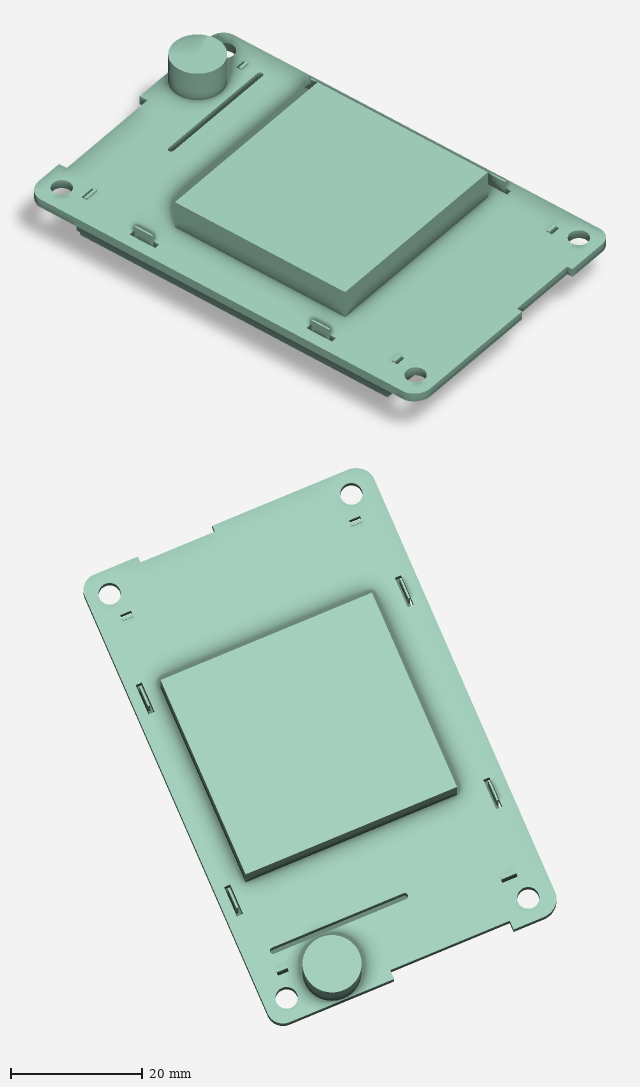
import cadquery as cq
import math

BOARD_LENGTH = 76.2
BOARD_WIDTH = 47.75
BOARD_THICKNESS = 1.6
BACK_CORNER_RADIUS = 2.54
FRONT_CORNER_RADIUS = 3.175
FRONT_CORNER_INSET = 2.54

PATTERN_Y = 0.25

HOLE_DIAMETER = 3.4
HOLE_X = 34.4
HOLE_Y = 20.0

LEFT_NOTCH_DEPTH = 1.5
LEFT_NOTCH_BOTTOM = -15.75
LEFT_NOTCH_TOP = 4.0
RIGHT_NOTCH_DEPTH = 1.0
RIGHT_NOTCH_BOTTOM = 1.7
RIGHT_NOTCH_TOP = 14.0

CABLE_SLOT_LENGTH = 22.8
CABLE_SLOT_WIDTH = 1.0
CABLE_SLOT_X = -26.8
CABLE_SLOT_Y = 8.35

FRAME_LENGTH = 60.4
FRAME_WIDTH = 43.4
FRAME_HEIGHT = 3.6
GLASS_LENGTH = 59.8
GLASS_WIDTH = 42.4
GLASS_HEIGHT = 1.1

BUZZER_DIAMETER = 9.0
BUZZER_HEIGHT = 5.4
BUZZER_X = -33.4
BUZZER_Y = 12.3
MODULE_LENGTH = 33.1
MODULE_WIDTH = 35.0
MODULE_HEIGHT = 5.1
MODULE_X = 1.25
MODULE_Y = 1.4

LATCH_SLOT_LENGTH = 5.0
LATCH_LENGTH = 3.4
LATCH_THICKNESS = 0.3
LATCH_HEIGHT = 1.8
LATCH_X = 17.2

TAB_SLOT_INNER_Y = 18.05
TAB_SLOT_OUTER_Y = 19.85
LONG_TAB_SLOT_INNER_Y = 17.3
TAB_HEIGHT = 0.25

TAB_SLOT_WIDTH = 1.0
LATCH_SLOT_OVERHANG = 0.25
TAB_SLOT_HALF = TAB_SLOT_WIDTH / 2


def box(x_min, x_max, y_min, y_max, z_min, z_max):
    """Axis-aligned block given by its limits."""
    size = (x_max - x_min, y_max - y_min, z_max - z_min)
    return cq.Workplane("XY").box(*size, centered=False).translate((x_min, y_min, z_min))


def centred_block(length, width, x, y, z_min, height):
    """Block centred on (x, y) that rises from z_min."""
    return cq.Workplane("XY", origin=(x, y, z_min)).box(length, width, height, centered=(True, True, False))


def make_board():
    """Rounded board with two edge notches, four mounting holes and one long slot."""
    edge = BOARD_LENGTH / 2
    back = BOARD_WIDTH / 2
    front = -BOARD_WIDTH / 2

    arc_offset = FRONT_CORNER_RADIUS - FRONT_CORNER_INSET
    arc_start_y = front + math.sqrt(FRONT_CORNER_RADIUS**2 - arc_offset**2)
    board = (
        cq.Workplane("XY")
        .moveTo(-edge + FRONT_CORNER_INSET, front)
        .lineTo(edge - FRONT_CORNER_INSET, front)
        .radiusArc((edge, arc_start_y), -FRONT_CORNER_RADIUS)
        .lineTo(edge, back)
        .lineTo(-edge, back)
        .lineTo(-edge, arc_start_y)
        .radiusArc((-edge + FRONT_CORNER_INSET, front), -FRONT_CORNER_RADIUS)
        .close()
        .extrude(-BOARD_THICKNESS)
    )
    board = board.edges("|Z and >Y").fillet(BACK_CORNER_RADIUS)

    left_notch = box(-edge, -edge + LEFT_NOTCH_DEPTH, LEFT_NOTCH_BOTTOM, LEFT_NOTCH_TOP, -BOARD_THICKNESS, 0)
    right_notch = box(edge - RIGHT_NOTCH_DEPTH, edge, RIGHT_NOTCH_BOTTOM, RIGHT_NOTCH_TOP, -BOARD_THICKNESS, 0)

    holes = (
        cq.Workplane("XY", origin=(0, PATTERN_Y, 0))
        .rect(2 * HOLE_X, 2 * HOLE_Y, forConstruction=True)
        .vertices()
        .circle(HOLE_DIAMETER / 2)
        .extrude(-BOARD_THICKNESS)
    )
    cable_slot = (
        cq.Workplane("XY", origin=(CABLE_SLOT_X, CABLE_SLOT_Y, 0))
        .slot2D(CABLE_SLOT_LENGTH, CABLE_SLOT_WIDTH, 90)
        .extrude(-BOARD_THICKNESS)
    )
    return board.cut(left_notch).cut(right_notch).cut(holes).cut(cable_slot)


def make_display():
    """Display frame against the underside of the board, with the glass below it."""
    frame_bottom = -BOARD_THICKNESS - FRAME_HEIGHT
    frame = centred_block(FRAME_LENGTH, FRAME_WIDTH, 0, PATTERN_Y, frame_bottom, FRAME_HEIGHT)
    glass = centred_block(GLASS_LENGTH, GLASS_WIDTH, 0, PATTERN_Y, frame_bottom - GLASS_HEIGHT, GLASS_HEIGHT)
    return frame.union(glass)


def latch_slot_and_tab(x_side, y_side):
    """Board slot and upright display tab on a long edge of the display."""
    x = x_side * LATCH_X
    frame_edge = FRAME_WIDTH / 2
    slot_y = PATTERN_Y + y_side * (frame_edge + LATCH_SLOT_OVERHANG - TAB_SLOT_HALF)
    tab_y = PATTERN_Y + y_side * (frame_edge - LATCH_THICKNESS / 2)
    slot = centred_block(LATCH_SLOT_LENGTH, TAB_SLOT_WIDTH, x, slot_y, -BOARD_THICKNESS, BOARD_THICKNESS)
    tab_height = BOARD_THICKNESS + LATCH_HEIGHT
    tab = centred_block(LATCH_LENGTH, LATCH_THICKNESS, x, tab_y, -BOARD_THICKNESS, tab_height)
    return slot, tab


def end_slot_and_tab(x_side, y_side):
    """Board slot and low display tab on a short edge of the display."""
    long_slot = x_side < 0 and y_side < 0
    inner_y = LONG_TAB_SLOT_INNER_Y if long_slot else TAB_SLOT_INNER_Y
    length = TAB_SLOT_OUTER_Y - inner_y
    y = PATTERN_Y + y_side * (TAB_SLOT_OUTER_Y + inner_y) / 2
    slot_x = x_side * FRAME_LENGTH / 2
    tab_x = x_side * (FRAME_LENGTH - TAB_SLOT_HALF) / 2
    slot = centred_block(TAB_SLOT_WIDTH, length, slot_x, y, -BOARD_THICKNESS, BOARD_THICKNESS)
    tab = centred_block(TAB_SLOT_HALF, length, tab_x, y, -BOARD_THICKNESS, BOARD_THICKNESS + TAB_HEIGHT)
    return slot, tab


def make_buzzer():
    """Round buzzer standing on the board."""
    return cq.Workplane("XY", origin=(BUZZER_X, BUZZER_Y, 0)).circle(BUZZER_DIAMETER / 2).extrude(BUZZER_HEIGHT)


def make_module():
    """Rectangular module standing on the board."""
    return centred_block(MODULE_LENGTH, MODULE_WIDTH, MODULE_X, MODULE_Y, 0, MODULE_HEIGHT)


board = make_board()
display = make_display()
for x_side in (-1, 1):
    for y_side in (-1, 1):
        for make_pair in (latch_slot_and_tab, end_slot_and_tab):
            slot, tab = make_pair(x_side, y_side)
            board = board.cut(slot)
            display = display.union(tab)

result = board.union(display).union(make_buzzer()).union(make_module())